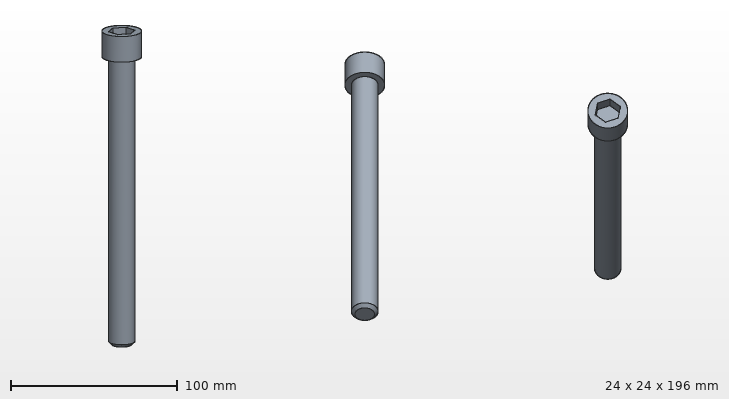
import cadquery as cq
import math

total_length = 196.0
head_diameter = 24.0
shank_diameter = 16.0
head_height = shank_diameter
shank_length = total_length - head_height
tip_chamfer = 2.2
hex_across_flats = 14.0
hex_across_corners = hex_across_flats / math.cos(math.pi / 6)
socket_depth = head_height / 2


def make_shank():
    """Plain cylindrical shank, chamfered at the tip."""
    shank = cq.Workplane("XY").circle(shank_diameter / 2).extrude(shank_length)
    return shank.faces("<Z").chamfer(tip_chamfer)


def make_head():
    """Cylindrical head sitting on top of the shank."""
    return cq.Workplane("XY", origin=(0, 0, shank_length)).circle(head_diameter / 2).extrude(head_height)


def make_socket():
    """Hexagon socket open at the top, with two corners on the X axis."""
    return (
        cq.Workplane("XY", origin=(0, 0, total_length - socket_depth))
        .polygon(6, hex_across_corners)
        .extrude(socket_depth)
    )


result = make_shank().union(make_head()).cut(make_socket())